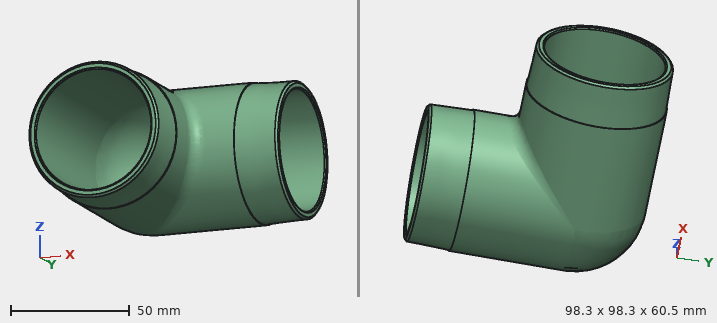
import cadquery as cq

outer_diameter = 60.5
bore_diameter = 52.1
overall_length = 98.25
outer_radius = outer_diameter / 2
bore_radius = bore_diameter / 2
arm_length = overall_length - outer_radius

taper_length = 19.3
shoulder_step = 0.3
taper_drop = 0.6
tip_chamfer = 1.0
bore_chamfer = 0.6
inner_corner_radius = 4.9


def arm_along_y():
    """Solid arm pointing to -Y, with a stepped, tapered end and a chamfered tip."""
    taper_start = arm_length - taper_length
    start_radius = outer_radius - shoulder_step
    end_radius = start_radius - taper_drop
    profile = (
        cq.Workplane("XY")
        .lineTo(outer_radius, 0)
        .lineTo(outer_radius, -taper_start)
        .lineTo(start_radius, -taper_start)
        .lineTo(end_radius, -(arm_length - tip_chamfer))
        .lineTo(end_radius - tip_chamfer, -arm_length)
        .lineTo(0, -arm_length)
        .close()
    )
    return profile.revolve(360, (0, 0, 0), (0, 1, 0))


def bore_along_y():
    """Bore core for the -Y arm, flared at its mouth."""
    profile = (
        cq.Workplane("XY")
        .lineTo(bore_radius, 0)
        .lineTo(bore_radius, -(arm_length - bore_chamfer))
        .lineTo(bore_radius + bore_chamfer, -arm_length)
        .lineTo(0, -arm_length)
        .close()
    )
    return profile.revolve(360, (0, 0, 0), (0, 1, 0))


def turned_to_x(arm):
    """Turn a shape from the -Y arm to the +X arm."""
    return arm.rotate((0, 0, 0), (0, 0, 1), 90)


def elbow(ball_radius, arm):
    """Join a ball with the -Y arm and its copy along +X."""
    return cq.Workplane("XY").sphere(ball_radius).union(arm).union(turned_to_x(arm))


body = elbow(outer_radius, arm_along_y())
body = body.edges("%ELLIPSE").fillet(inner_corner_radius)

result = body.cut(elbow(bore_radius, bore_along_y()))